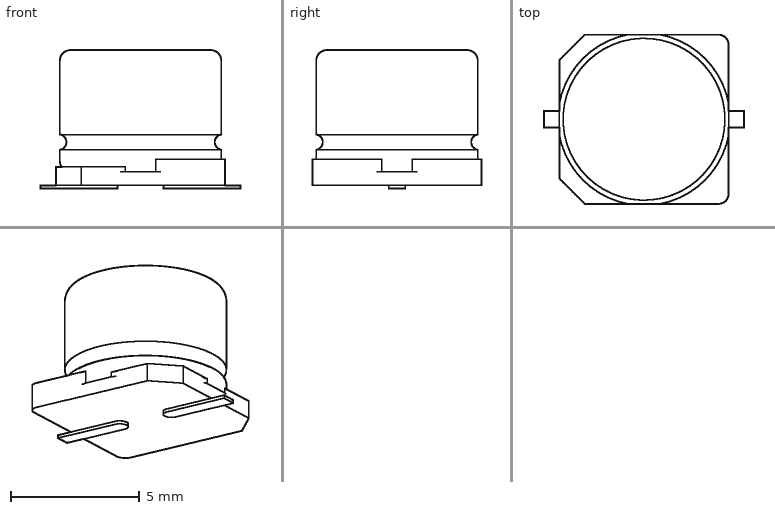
import cadquery as cq

overall_length = 7.8
lead_thickness = 0.125
lead_width = 0.65
lead_gap = 1.78

base_side = 6.6
seat_floor_z = 0.65
low_corner_z = 0.84
high_corner_z = 1.15
seat_radius = 3.355
corner_chamfer = 1.0
corner_fillet = 0.405

can_radius = 6.3 / 2
can_top_z = 5.4
can_edge_radius = 0.42
groove_center_z = 1.81
groove_half_height = 0.3
groove_depth = 0.26


def make_base():
    """Plate with chamfered -X corners and two raised, rounded +X corners."""
    plate = (
        cq.Workplane("XY", origin=(0, 0, lead_thickness))
        .rect(base_side, base_side)
        .extrude(high_corner_z - lead_thickness)
        .edges("|Z and <X").chamfer(corner_chamfer)
        .edges("|Z and >X").fillet(corner_fillet)
    )
    lowered_side = (
        cq.Workplane("XY", origin=(-base_side / 2, 0, low_corner_z))
        .rect(base_side, base_side)
        .extrude(high_corner_z - low_corner_z)
    )
    seat = (
        cq.Workplane("XY", origin=(0, 0, seat_floor_z))
        .circle(seat_radius)
        .extrude(high_corner_z - seat_floor_z)
    )
    return plate.cut(lowered_side).cut(seat)


def make_can():
    """Solid of revolution with rounded rims and a rolled groove."""
    rim_radius = can_radius - can_edge_radius
    arc_offset = can_edge_radius * 0.5 ** 0.5
    bottom_arc_z = seat_floor_z + can_edge_radius
    top_arc_z = can_top_z - can_edge_radius
    profile = (
        cq.Workplane("XZ")
        .moveTo(0, seat_floor_z)
        .lineTo(rim_radius, seat_floor_z)
        .threePointArc((rim_radius + arc_offset, bottom_arc_z - arc_offset), (can_radius, bottom_arc_z))
        .lineTo(can_radius, groove_center_z - groove_half_height)
        .threePointArc(
            (can_radius - groove_depth, groove_center_z),
            (can_radius, groove_center_z + groove_half_height),
        )
        .lineTo(can_radius, top_arc_z)
        .threePointArc((rim_radius + arc_offset, top_arc_z + arc_offset), (rim_radius, can_top_z))
        .lineTo(0, can_top_z)
        .close()
    )
    return profile.revolve(360, (0, 0, 0), (0, 1, 0))


def make_lead(side):
    """Lead on the +X (side = 1) or -X (side = -1) end."""
    half_width = lead_width / 2
    outer_x = side * overall_length / 2
    tip_x = side * lead_gap / 2
    arc_x = tip_x + side * half_width
    return (
        cq.Workplane("XY")
        .moveTo(outer_x, -half_width)
        .lineTo(arc_x, -half_width)
        .threePointArc((tip_x, 0), (arc_x, half_width))
        .lineTo(outer_x, half_width)
        .close()
        .extrude(lead_thickness)
    )


result = make_base().union(make_can())
for lead_side in (-1, 1):
    result = result.union(make_lead(lead_side))